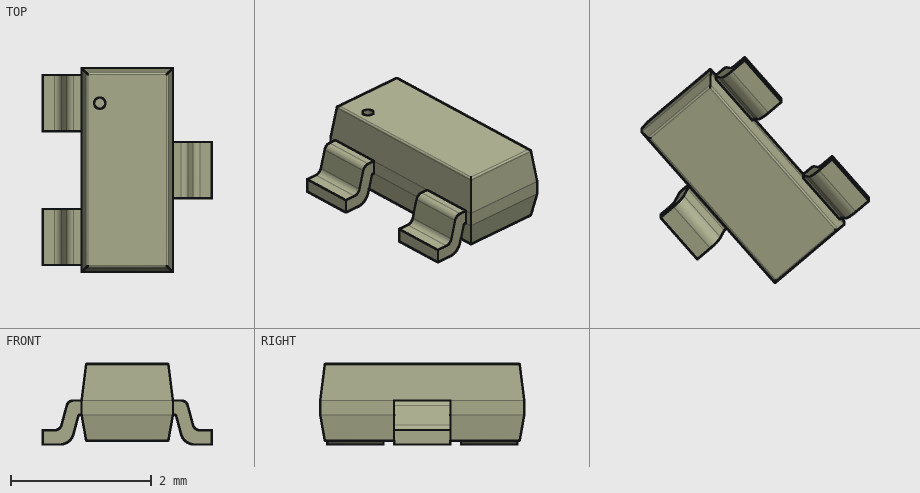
import cadquery as cq
import math

body_length_x = 1.3
body_length_y = 2.9
body_bottom_z = 0.05
body_top_z = 1.15
end_inset = 0.066
body_edge_radius = 0.03

lead_span = 2.4
lead_thickness = 0.205
lead_width = 0.8
lead_top_z = 0.627
lead_pitch = 1.9
leg_thickness = 0.2
leg_tilt = 15.0
foot_flat = 0.169
bend_radius = 0.1
shoulder_inner_radius = 0.02
heel_radius = 0.2

mark_diameter = 0.16
mark_depth = 0.1
mark_x = -0.39
mark_y = lead_pitch / 2

lead_bottom_z = lead_top_z - lead_thickness


def tapered_half(start_z, end_z):
    """Solid from the full outline at start_z to the drawn-in outline at end_z."""
    return (
        cq.Workplane("XY")
        .workplane(offset=start_z)
        .rect(body_length_x, body_length_y)
        .workplane(offset=end_z - start_z)
        .rect(body_length_x - 2 * end_inset, body_length_y - 2 * end_inset)
        .loft(ruled=True)
    )


def make_body():
    """Moulded body: straight belt as high as a lead, tapered above and below, with a pin-one mark."""
    belt = (
        cq.Workplane("XY")
        .workplane(offset=lead_bottom_z)
        .rect(body_length_x, body_length_y)
        .extrude(lead_thickness)
    )
    upper = tapered_half(lead_top_z, body_top_z)
    lower = tapered_half(lead_bottom_z, body_bottom_z)
    block = belt.union(upper).union(lower)
    block = block.faces("<Z or >Z").edges().fillet(body_edge_radius)
    mark = (
        cq.Workplane("XY")
        .workplane(offset=body_top_z - mark_depth)
        .center(mark_x, mark_y)
        .circle(mark_diameter / 2)
        .extrude(mark_depth)
    )
    return block.cut(mark)


def make_lead():
    """Gull-wing lead on the -X side, centred on Y = 0 and ending on the body's side face."""
    tilt = math.radians(leg_tilt)
    corner_setback = bend_radius * math.tan((math.pi / 2 - tilt) / 2)

    tip_x = -lead_span / 2
    body_side_x = -body_length_x / 2
    leg_rise = lead_top_z - lead_thickness
    leg_run = leg_rise * math.tan(tilt)

    outer_low_x = tip_x + foot_flat + corner_setback
    outer_high_x = outer_low_x + leg_run
    level_shift = leg_thickness / math.cos(tilt) - lead_thickness * math.tan(tilt)
    inner_low_x = outer_low_x + level_shift
    inner_high_x = outer_high_x + level_shift

    profile = [
        (tip_x, 0),
        (tip_x, lead_thickness),
        (outer_low_x, lead_thickness),
        (outer_high_x, lead_top_z),
        (body_side_x, lead_top_z),
        (body_side_x, lead_bottom_z),
        (inner_high_x, lead_bottom_z),
        (inner_low_x, 0),
    ]
    bends = [
        (outer_low_x, lead_thickness, bend_radius),
        (outer_high_x, lead_top_z, bend_radius),
        (inner_high_x, lead_bottom_z, shoulder_inner_radius),
        (inner_low_x, 0, heel_radius),
    ]
    lead = cq.Workplane("XZ").polyline(profile).close().extrude(lead_width / 2, both=True)
    for bend_x, bend_z, radius in bends:
        corner = cq.selectors.NearestToPointSelector((bend_x, 0, bend_z))
        lead = lead.edges("|Y").edges(corner).fillet(radius)
    return lead


body = make_body()

left_leads = []
for side in (-1, 1):
    left_leads.append(make_lead().translate((0, side * lead_pitch / 2, 0)))

right_lead = make_lead().rotate((0, 0, 0), (0, 0, 1), 180)

leads = left_leads + [right_lead]
result = cq.Compound.makeCompound([body.val()] + [lead.val() for lead in leads])